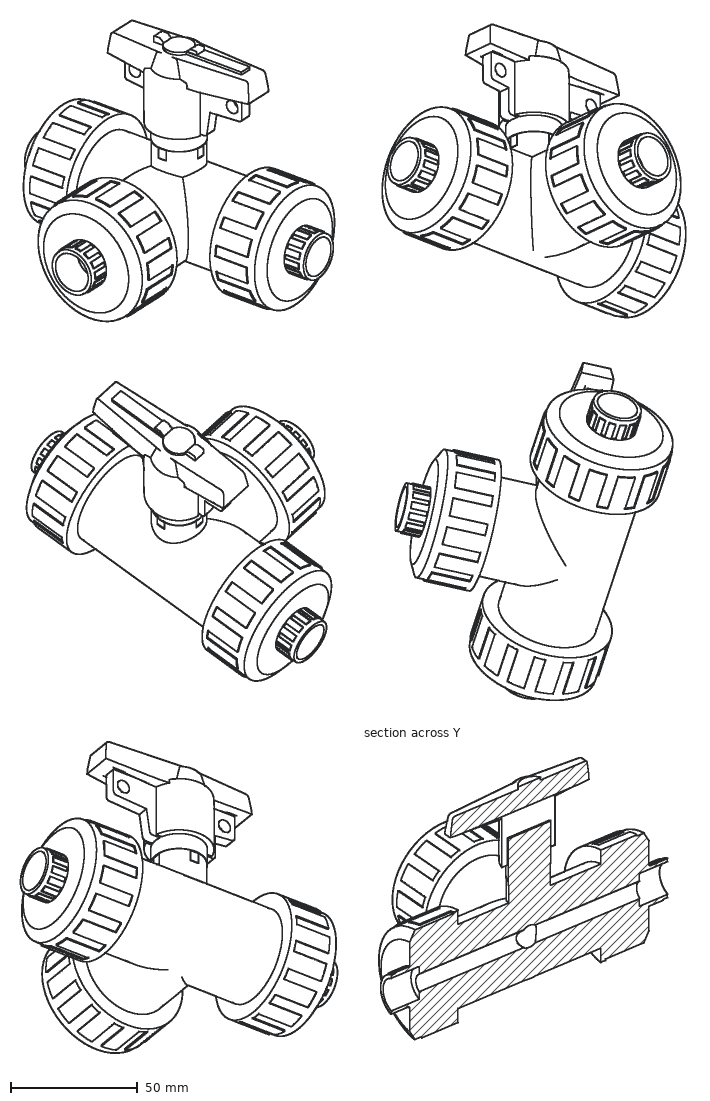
import cadquery as cq
import math


PORT_REACH = 69.25
BODY_RADIUS = 20.0
BORE_RADIUS = 5.0
SOCKET_RADIUS = 8.1
SOCKET_DEPTH = 14.0

NUT_INNER_FACE = 35.7
NUT_OUTER_FACE = 60.0
NUT_RADIUS = 25.9
RIB_RADIUS = 26.5
NUT_COLLAR_LENGTH = 2.5
RIB_OUTER_END = 53.8
NUT_CHAMFER_LENGTH = 2.6
NUT_CHAMFER_DEPTH = 4.75
NUT_GROOVE_WIDTH = 4.5

SPIGOT_RADIUS = 9.7
TOOTH_RADIUS = 10.1
TOOTH_COLLAR_LENGTH = 0.3
TOOTH_PLAIN_END = 2.2
TOOTH_GROOVE_WIDTH = 1.7
GROOVE_COUNT = 14

STEM_RADIUS = 11.2
STEM_FOOT_RADIUS = 11.0
STEM_TOP = 49.8
POCKET_WIDTH = 3.8
POCKET_BOTTOM = 25.2
POCKET_TOP = 30.0
POCKET_FLAT = 10.7

HUB_RADIUS = 13.8
HUB_BOTTOM = 37.1
HUB_RIM = 61.75
HUB_SHOULDER = 62.8
HUB_RIM_FILLET = 1.6
CONE_BASE_RADIUS = 11.3
CONE_TOP_RADIUS = 9.2
CONE_FILLET = 1.0
HUB_SLOT_WIDTH = 7.0
HUB_SLOT_TOP = 61.1

BAR_TOP = 70.9
BAR_LEFT = -29.9
BAR_RIGHT = 39.5
BAR_END_BOTTOM = 61.5
BAR_BOTTOM = 59.8
BAR_BOTTOM_LEFT = -10.5
BAR_BOTTOM_RIGHT = 16.0
BAR_LEFT_HALF_WIDTH = 7.5
BAR_RIGHT_HALF_WIDTH = 6.8
BAR_MIDDLE_HALF_WIDTH = 9.6
BAR_DRAFT = 7.5
BAR_LAND = 3.6
BAR_END_FILLET = 1.6

WEB_THICKNESS = 5.0
WEB_LEFT = -25.0
WEB_RIGHT = 33.1
WEB_CORNER_Z = 49.4
WEB_STEP_Z = 48.4
WEB_STEP_LEFT = -15.7
WEB_STEP_RIGHT = 17.3
WEB_FOOT_RIGHT = 15.6
WEB_CORNER_FILLET = 1.5
WEB_HOLE_RADIUS = 2.8
WEB_HOLE_X = (-20.1, 28.3)
WEB_HOLE_Z = 54.7

DISC_RADIUS = 6.35
DISC_TOP = 72.1
POINTER_WIDTH = 5.5
POINTER_END = WEB_RIGHT
LUG_WIDTH = 5.0
LUG_INNER = 5.7
LUG_FLAT_INNER = 7.6
LUG_OUTER = 10.7
LUG_TOP = 73.67
LUG_FILLET = 0.6


def x_cylinder(radius, start, end):
    return cq.Workplane("YZ").workplane(offset=start).circle(radius).extrude(end - start)


def ribbed_ring(root_radius, tip_radius, start, end, groove_start, groove_end, groove_width):
    """Cylinder along X with lengthwise grooves; one wall of the first groove lies in the XZ plane."""
    groove_length = groove_end - groove_start
    blank = cq.Workplane("XY").box(groove_length, groove_width, 2 * tip_radius, centered=(False, False, False))
    blank = blank.translate((groove_start, -groove_width, 0))
    groove = blank.cut(x_cylinder(root_radius, groove_start, groove_end))
    ring = x_cylinder(tip_radius, start, end)
    for index in range(GROOVE_COUNT):
        ring = ring.cut(groove.rotate((0, 0, 0), (1, 0, 0), index * 360 / GROOVE_COUNT))
    return ring


def make_port():
    """One arm of the body along +X with its union nut and spigot."""
    arm = x_cylinder(BODY_RADIUS, 0, NUT_OUTER_FACE)
    chamfer_start = NUT_OUTER_FACE - NUT_CHAMFER_LENGTH
    shell = (
        cq.Workplane("XY")
        .moveTo(NUT_INNER_FACE, 0)
        .lineTo(NUT_INNER_FACE, NUT_RADIUS)
        .lineTo(chamfer_start, NUT_RADIUS)
        .lineTo(NUT_OUTER_FACE, NUT_RADIUS - NUT_CHAMFER_DEPTH)
        .lineTo(NUT_OUTER_FACE, 0)
        .close()
        .revolve(360, (0, 0, 0), (1, 0, 0))
    )
    grip_start = NUT_INNER_FACE + NUT_COLLAR_LENGTH
    grip = ribbed_ring(
        NUT_RADIUS, RIB_RADIUS, NUT_INNER_FACE, RIB_OUTER_END, grip_start, RIB_OUTER_END, NUT_GROOVE_WIDTH
    )
    spigot = x_cylinder(SPIGOT_RADIUS, NUT_INNER_FACE, PORT_REACH)
    teeth_start = NUT_OUTER_FACE + TOOTH_COLLAR_LENGTH
    teeth_end = PORT_REACH - TOOTH_PLAIN_END
    teeth = ribbed_ring(
        SPIGOT_RADIUS, TOOTH_RADIUS, NUT_INNER_FACE, teeth_end, teeth_start, teeth_end, TOOTH_GROOVE_WIDTH
    )
    return arm.union(shell).union(grip).union(spigot).union(teeth)


def make_port_bore():
    bore = x_cylinder(BORE_RADIUS, 0, PORT_REACH)
    return bore.union(x_cylinder(SOCKET_RADIUS, PORT_REACH - SOCKET_DEPTH, PORT_REACH))


def at_ports(make_shape):
    """Union of a +X shape turned to the +X, -X and -Y ports."""
    shape = make_shape()
    combined = shape
    for angle in (180, -90):
        combined = combined.union(shape.rotate((0, 0, 0), (0, 0, 1), angle))
    return combined


def make_stem():
    foot = cq.Workplane("XY").circle(STEM_FOOT_RADIUS).extrude(POCKET_TOP)
    neck = cq.Workplane("XY").workplane(offset=POCKET_TOP).circle(STEM_RADIUS).extrude(STEM_TOP - POCKET_TOP)
    stem = foot.union(neck)
    pocket = (
        cq.Workplane("XY")
        .box(STEM_RADIUS, POCKET_WIDTH, POCKET_TOP - POCKET_BOTTOM, centered=(False, True, False))
        .translate((POCKET_FLAT, 0, POCKET_BOTTOM))
    )
    for angle in (0, 90, 180, 270):
        stem = stem.cut(pocket.rotate((0, 0, 0), (0, 0, 1), angle))
    return stem


def make_hub():
    barrel = (
        cq.Workplane("XZ")
        .moveTo(0, HUB_BOTTOM)
        .lineTo(HUB_RADIUS, HUB_BOTTOM)
        .lineTo(HUB_RADIUS, HUB_RIM)
        .lineTo(CONE_BASE_RADIUS, HUB_SHOULDER)
        .lineTo(0, HUB_SHOULDER)
        .close()
        .revolve(360, (0, 0, 0), (0, 1, 0))
    )
    barrel = barrel.edges(cq.selectors.NearestToPointSelector((0, 0, HUB_RIM))).fillet(HUB_RIM_FILLET)
    cone_height = BAR_TOP - HUB_SHOULDER
    cone_draft = math.degrees(math.atan((CONE_BASE_RADIUS - CONE_TOP_RADIUS) / cone_height))
    cone = cq.Workplane("XY").workplane(offset=HUB_SHOULDER).circle(CONE_BASE_RADIUS)
    cone = cone.extrude(cone_height, taper=cone_draft)
    cone = cone.faces(">Z").edges().fillet(CONE_FILLET)
    return barrel.union(cone)


def make_bar():
    """Drafted six-sided bar, wider at the stem, with a sloping underside and rounded top ends."""
    end_run_out = BAR_LAND * math.tan(math.radians(BAR_DRAFT))
    left = BAR_LEFT - end_run_out
    right = BAR_RIGHT + end_run_out
    plan = (
        cq.Workplane("XY")
        .workplane(offset=BAR_BOTTOM)
        .polyline([
            (left, -BAR_LEFT_HALF_WIDTH),
            (0, -BAR_MIDDLE_HALF_WIDTH),
            (right, -BAR_RIGHT_HALF_WIDTH),
            (right, BAR_RIGHT_HALF_WIDTH),
            (0, BAR_MIDDLE_HALF_WIDTH),
            (left, BAR_LEFT_HALF_WIDTH),
        ])
        .close()
        .extrude(BAR_TOP - BAR_BOTTOM, taper=BAR_DRAFT)
    )
    plan = plan.faces(">Z").edges("|Y").fillet(BAR_END_FILLET)
    side = (
        cq.Workplane("XZ")
        .polyline([
            (BAR_LEFT, BAR_TOP),
            (BAR_LEFT, BAR_END_BOTTOM),
            (BAR_BOTTOM_LEFT, BAR_BOTTOM),
            (BAR_BOTTOM_RIGHT, BAR_BOTTOM),
            (BAR_RIGHT, BAR_END_BOTTOM),
            (BAR_RIGHT, BAR_TOP),
        ])
        .close()
        .extrude(BAR_MIDDLE_HALF_WIDTH, both=True)
    )
    return plan.intersect(side)


def make_slot():
    """Lengthwise slot under the bar and through the hub, clear around the web."""
    return (
        cq.Workplane("XY")
        .box(BAR_RIGHT - BAR_LEFT, HUB_SLOT_WIDTH, HUB_SLOT_TOP - HUB_BOTTOM, centered=(False, True, False))
        .translate((BAR_LEFT, 0, HUB_BOTTOM))
    )


def make_web():
    web = (
        cq.Workplane("XZ")
        .polyline([
            (WEB_LEFT, HUB_SLOT_TOP),
            (WEB_LEFT, WEB_CORNER_Z),
            (WEB_STEP_LEFT, WEB_STEP_Z),
            (WEB_STEP_LEFT, HUB_BOTTOM),
            (WEB_FOOT_RIGHT, HUB_BOTTOM),
            (WEB_STEP_RIGHT, WEB_STEP_Z),
            (WEB_RIGHT, WEB_CORNER_Z),
            (WEB_RIGHT, HUB_SLOT_TOP),
        ])
        .close()
        .extrude(WEB_THICKNESS / 2, both=True)
    )
    outer_corners = ((WEB_LEFT, WEB_CORNER_Z), (WEB_RIGHT, WEB_CORNER_Z))
    foot_corners = ((WEB_STEP_LEFT, HUB_BOTTOM), (WEB_FOOT_RIGHT, HUB_BOTTOM))
    for x, z in outer_corners + foot_corners:
        web = web.edges(cq.selectors.NearestToPointSelector((x, 0, z))).fillet(WEB_CORNER_FILLET)
    holes = (
        cq.Workplane("XZ")
        .pushPoints([(x, WEB_HOLE_Z) for x in WEB_HOLE_X])
        .circle(WEB_HOLE_RADIUS)
        .extrude(WEB_THICKNESS, both=True)
    )
    return web.cut(holes)


def make_indicator():
    """Round disc, long pointer and two bevelled lugs standing on the bar."""
    height = DISC_TOP - BAR_TOP
    disc = cq.Workplane("XY").workplane(offset=BAR_TOP).circle(DISC_RADIUS).extrude(height)
    pointer = (
        cq.Workplane("XY")
        .box(POINTER_END, POINTER_WIDTH, height, centered=(False, True, False))
        .translate((0, 0, BAR_TOP))
    )
    lug = (
        cq.Workplane("XZ")
        .polyline([
            (LUG_INNER, BAR_TOP),
            (LUG_INNER, DISC_TOP),
            (LUG_FLAT_INNER, LUG_TOP),
            (LUG_OUTER, LUG_TOP),
            (LUG_OUTER, BAR_TOP),
        ])
        .close()
        .extrude(LUG_WIDTH / 2, both=True)
    )
    for x in (LUG_OUTER, LUG_FLAT_INNER):
        lug = lug.edges(cq.selectors.NearestToPointSelector((x, 0, LUG_TOP))).fillet(LUG_FILLET)
    return disc.union(pointer).union(lug).union(lug.mirror("YZ"))


handle = make_hub().union(make_bar()).cut(make_slot()).union(make_web()).union(make_indicator())
valve = at_ports(make_port).union(make_stem()).cut(at_ports(make_port_bore))
result = valve.union(handle)